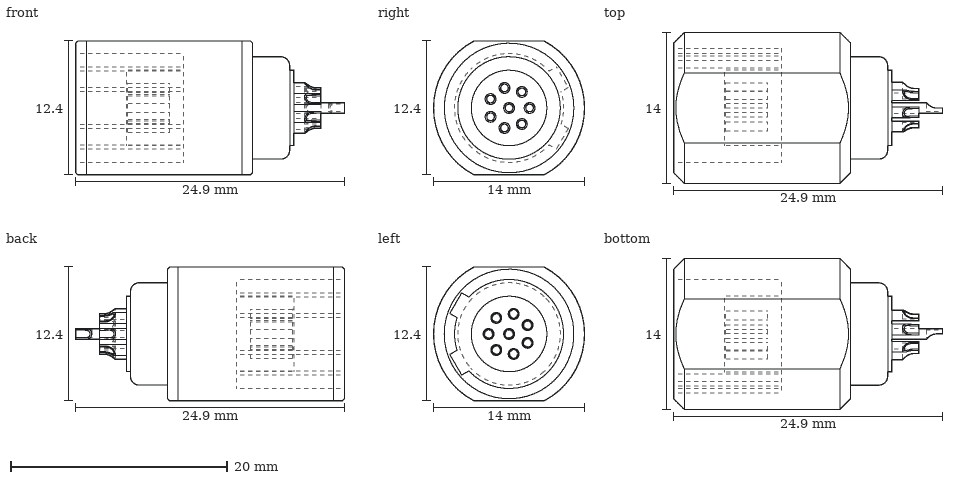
import cadquery as cq
import math

SHELL_LENGTH = 16.4
SHELL_RADIUS = 7.0
SHELL_CHAMFER = 1.0
FLAT_SPACING = 12.4

BORE_RADIUS = 5.05
BORE_DEPTH = 10.0
KEYWAY_WIDTH = 2.2
KEYWAY_FLOOR = 5.7
KEYWAY_ANGLES = (-30.0, 30.0)

COLLAR_RADIUS = 4.75
COLLAR_END = 19.83
COLLAR_FILLET = 0.83

INSERT_RADIUS = 3.5
INSERT_START = 4.7
INSERT_END = 20.2

CONTACT_RADIUS = 0.5
SOCKET_RADIUS = 0.4
CONTACT_RING_RADIUS = 1.9
RING_CONTACTS = 7
SOCKET_DEPTH = 4.0
RING_CONTACT_END = 22.7
CENTER_CONTACT_END = 24.9

CUP_LENGTH = 1.5
CUP_BORE_RADIUS = 0.35
RING_CUP_OVERCUT = 0.08
CENTER_CUP_OVERCUT = 0.0
CUP_RAMP_ANGLE = 45.0
CUP_RAMP_FILLET = 1.2


def x_cylinder(radius, start, end):
    """Cylinder on the X axis between two X positions."""
    return cq.Workplane("YZ", origin=(start, 0, 0)).circle(radius).extrude(end - start)


def make_shell():
    """Round shell, chamfered at both ends, with a wrench flat above and below."""
    shell = x_cylinder(SHELL_RADIUS, 0, SHELL_LENGTH).edges().chamfer(SHELL_CHAMFER)
    between_flats = cq.Workplane("XY").box(
        SHELL_LENGTH, 2 * SHELL_RADIUS, FLAT_SPACING, centered=(False, True, True)
    )
    return shell.intersect(between_flats)


def make_collar():
    """Smaller rear cylinder with a rounded rear edge."""
    return x_cylinder(COLLAR_RADIUS, BORE_DEPTH, COLLAR_END).faces(">X").edges().fillet(COLLAR_FILLET)


def make_cavity():
    """Round bore with two flat-bottomed keyways beside the +Y direction."""
    cavity = x_cylinder(BORE_RADIUS, 0, BORE_DEPTH)
    for angle in KEYWAY_ANGLES:
        keyway = cq.Workplane("XY").box(
            BORE_DEPTH, KEYWAY_FLOOR, KEYWAY_WIDTH, centered=(False, False, True)
        )
        cavity = cavity.union(keyway.rotate((0, 0, 0), (1, 0, 0), angle))
    return cavity


def make_cup_cut(end, overcut):
    """Cutter that opens the +Y side of a contact end, with a blended ramp at its start."""
    floor = -overcut
    start = end - CUP_LENGTH
    ramp = math.radians(CUP_RAMP_ANGLE)
    corner_x = start + (CONTACT_RADIUS - floor) / math.tan(ramp)
    tangent = CUP_RAMP_FILLET * math.tan(ramp / 2)
    ramp_end = (corner_x - tangent * math.cos(ramp), floor + tangent * math.sin(ramp))
    flat_start = (corner_x + tangent, floor)
    arc_middle = (
        flat_start[0] - CUP_RAMP_FILLET * math.sin(ramp / 2),
        floor + CUP_RAMP_FILLET * (1 - math.cos(ramp / 2)),
    )
    return (
        cq.Workplane("XY", origin=(0, 0, -CONTACT_RADIUS))
        .moveTo(start, CONTACT_RADIUS)
        .lineTo(*ramp_end)
        .threePointArc(arc_middle, flat_start)
        .lineTo(end, floor)
        .lineTo(end, CONTACT_RADIUS)
        .close()
        .extrude(2 * CONTACT_RADIUS)
    )


def make_contact_tail(end, overcut):
    """Contact tail on the X axis, ending in a solder cup that opens towards +Y."""
    tail = x_cylinder(CONTACT_RADIUS, COLLAR_END, end)
    cup_bore = x_cylinder(CUP_BORE_RADIUS, end - CUP_LENGTH, end)
    return tail.cut(cup_bore).cut(make_cup_cut(end, overcut))


def make_socket():
    """Countersunk contact socket on the X axis, cut into the insert front face."""
    lead_in = CONTACT_RADIUS - SOCKET_RADIUS
    return (
        cq.Workplane("XY", origin=(INSERT_START, 0, 0))
        .lineTo(0, CONTACT_RADIUS)
        .lineTo(lead_in, SOCKET_RADIUS)
        .lineTo(SOCKET_DEPTH, SOCKET_RADIUS)
        .lineTo(SOCKET_DEPTH, 0)
        .close()
        .revolve(360, (0, 0, 0), (1, 0, 0))
    )


def place_on_ring(solid, index):
    """Move a solid from the axis to its place on the contact ring, +Y side outwards."""
    angle = index * 360 / RING_CONTACTS
    return solid.translate((0, CONTACT_RING_RADIUS, 0)).rotate((0, 0, 0), (1, 0, 0), angle)


result = make_shell().union(make_collar()).cut(make_cavity())
result = result.union(x_cylinder(INSERT_RADIUS, INSERT_START, INSERT_END))

result = result.union(make_contact_tail(CENTER_CONTACT_END, CENTER_CUP_OVERCUT))
result = result.cut(make_socket())
for contact in range(RING_CONTACTS):
    tail = make_contact_tail(RING_CONTACT_END, RING_CUP_OVERCUT)
    result = result.union(place_on_ring(tail, contact))
    result = result.cut(place_on_ring(make_socket(), contact))